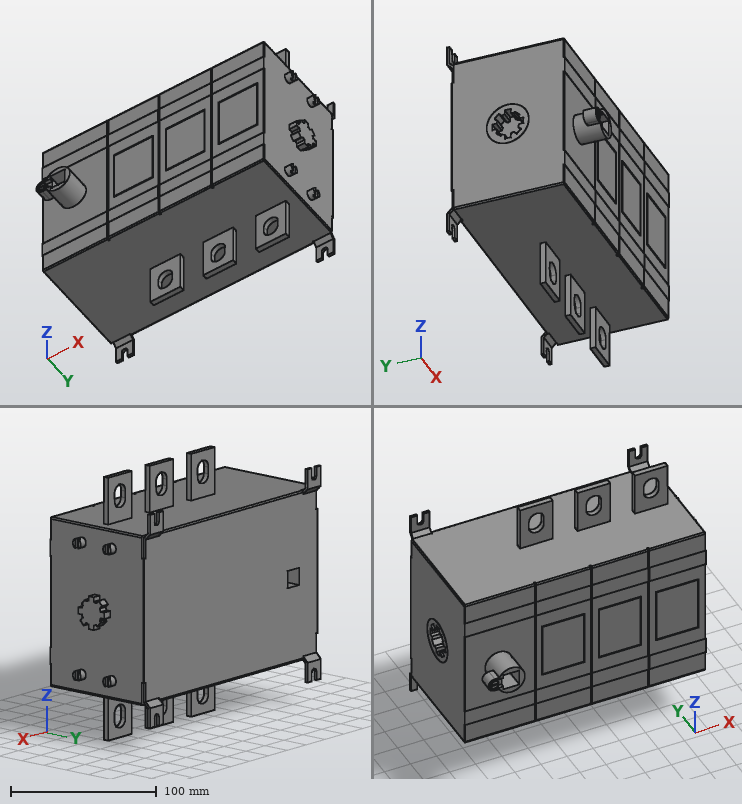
import cadquery as cq
import math


overall_width = 191
overall_depth = 108.0
overall_height = 186.0

body_width = 184.7
body_depth = 84.2
body_height = 120.0
edge_bevel = 0.67
edge_bevel_height = 1.3
mid_depth = body_depth / 2

band_inner = 32.3
band_outer = 44.1
band_rise = 0.2

groove_positions = [54.5, 97.0, 141.0]
groove_width = 1.1
groove_depth = 2.0

window_width = 32.5
window_height = 41.8
window_line = 0.4
window_line_depth = 0.4

terminal_pitch = 44.0
first_terminal = 74.9
terminal_count = 3
terminal_width = 25.0
terminal_thickness = 4.0
terminal_hole_width = 11.5
terminal_hole_length = 16.2
terminal_hole_height = 78.0

bracket_inset = 2.0
bracket_width = 14.1
bracket_thickness = 2.0
bracket_offset = 4.0
bracket_foot = 44.0
bracket_bend = 57.3
bracket_tip = 75.5
bracket_slot_width = 4.8
bracket_slot_bottom = 66.8

shaft_x = 26.2
shaft_diameter = 20.8
shaft_length = overall_depth - body_depth - bracket_offset
shaft_square = 12.2

lever_reach = 12.6
lever_width = 10.0
lever_thickness = 9.4
channel_width = 7.3
channel_depth = 2.9
screw_diameter = 6.1
screw_slot_width = 1.0

spline_root_radius = 8.8
spline_tooth_width = 4.5
spline_tip_long = 11.7
spline_tip_short = 10.0
short_tooth_angles = [135, 315]
tooth_count = 8
plug_length = overall_width - body_width
socket_depth = 10.0
dial_diameter = 31.3
dial_recess = 0.2

stud_diameter = 7.0
stud_length = 5.5
stud_slot_width = 2.7
stud_slot_depth = 2.1
stud_offset_y = 13.5
stud_height = 46.8


def block(x, y, z):
    """Box given by its (low, high) limits along each axis."""
    size = (x[1] - x[0], y[1] - y[0], z[1] - z[0])
    return cq.Workplane("XY").box(*size, centered=False).translate((x[0], y[0], z[0]))


def upright(half):
    """Add the mirror image of an upper-half shape below the mid-height plane."""
    return half.union(half.mirror("XY"))


def all_corners(foot):
    """Repeat an upper left shape in all four corners of the body."""
    left = upright(foot)
    center = (body_width / 2, 0, 0)
    return left.union(left.mirror("YZ", center))


def bevelled_prism(plane, width, height, bevel_across, bevel_up, length):
    """Rectangle with cut corners, centred on the plane and extruded both ways."""
    right = width / 2
    top = height / 2
    inner_right = right - bevel_across
    inner_top = top - bevel_up
    corners = [
        (right, inner_top), (inner_right, top),
        (-inner_right, top), (-right, inner_top),
        (-right, -inner_top), (-inner_right, -top),
        (inner_right, -top), (right, -inner_top),
    ]
    return cq.Workplane(plane).polyline(corners).close().extrude(length / 2, both=True)


def make_body():
    """Block with every outer edge bevelled, as the common part of three prisms."""
    body = bevelled_prism("XY", body_width, body_depth, edge_bevel, edge_bevel, body_height)
    body = body.intersect(
        bevelled_prism("XZ", body_width, body_height, edge_bevel, edge_bevel_height, body_depth)
    )
    body = body.intersect(
        bevelled_prism("YZ", body_depth, body_height, edge_bevel, edge_bevel_height, body_width)
    )
    body = body.translate((body_width / 2, mid_depth, 0))
    band = block((0, body_width), (-band_rise, mid_depth), (band_inner, band_outer))
    return body.union(upright(band))


def cut_grooves(body):
    for x in groove_positions:
        half = groove_width / 2
        body = body.cut(block((x - half, x + half), (-band_rise, groove_depth), (-body_height, body_height)))
    return body


def cut_windows(body):
    limits = groove_positions + [body_width]
    for left, right in zip(limits, limits[1:]):
        frame = (
            cq.Workplane("XZ")
            .center((left + right) / 2, 0)
            .rect(window_width, window_height)
            .rect(window_width - 2 * window_line, window_height - 2 * window_line)
            .extrude(-window_line_depth)
        )
        body = body.cut(frame)
    return body


def make_terminal(x):
    blade = block(
        (x - terminal_width / 2, x + terminal_width / 2),
        (mid_depth - terminal_thickness / 2, mid_depth + terminal_thickness / 2),
        (-overall_height / 2, overall_height / 2),
    )
    holes = (
        cq.Workplane("XZ")
        .pushPoints([(x, terminal_hole_height), (x, -terminal_hole_height)])
        .slot2D(terminal_hole_length, terminal_hole_width, 90)
        .extrude(-body_depth)
    )
    return blade.cut(holes)


def make_brackets():
    """Cranked foot in each corner, with an open slot in its outer leaf."""
    inner = body_depth - bracket_thickness
    bend_top = bracket_bend + bracket_offset
    shift = bracket_thickness * math.tan(math.radians(45 / 2))
    profile = [
        (inner, bracket_foot),
        (body_depth, bracket_foot),
        (body_depth, bracket_bend),
        (body_depth + bracket_offset, bend_top),
        (body_depth + bracket_offset, bracket_tip),
        (inner + bracket_offset, bracket_tip),
        (inner + bracket_offset, bend_top + shift),
        (inner, bracket_bend + shift),
    ]
    strip = cq.Workplane("YZ", origin=(bracket_inset, 0, 0)).polyline(profile).close().extrude(bracket_width)
    slot_length = 2 * (bracket_tip - bracket_slot_bottom)
    slot = (
        cq.Workplane("XZ")
        .center(bracket_inset + bracket_width / 2, bracket_tip)
        .slot2D(slot_length, bracket_slot_width, 90)
        .extrude(-2 * body_depth)
    )
    return all_corners(strip.cut(slot))


def cut_bracket_seats(body):
    seat = block(
        (0, bracket_inset + bracket_width),
        (body_depth - bracket_thickness, body_depth),
        (bracket_foot, body_height / 2),
    )
    return body.cut(all_corners(seat))


def make_shaft():
    """Round shaft standing out of the front, with a flush lever at its end."""
    barrel = cq.Workplane("XZ").center(shaft_x, 0).circle(shaft_diameter / 2).extrude(shaft_length)
    lever_plane = cq.Workplane("XZ", origin=(shaft_x, -shaft_length, 0))
    lever = lever_arm(lever_plane, lever_width, lever_thickness)
    channel = lever_arm(lever_plane, channel_width, channel_depth)
    screw_plane = lever_plane.center(-lever_reach, 0)
    screw = screw_plane.circle(screw_diameter / 2).extrude(-channel_depth)
    screw_slot = screw_plane.rect(screw_diameter, screw_slot_width).extrude(-channel_depth)
    return barrel.union(lever).cut(channel).union(screw.cut(screw_slot))


def lever_arm(plane, width, thickness):
    """Arm from the shaft axis to the lever end, rounded at the end, running back from the plane."""
    half = width / 2
    return (
        plane.moveTo(0, half)
        .lineTo(-lever_reach, half)
        .threePointArc((-lever_reach - half, 0), (-lever_reach, -half))
        .lineTo(0, -half)
        .close()
        .extrude(-thickness)
    )


def make_spline(x, length):
    """Eight-toothed spline along X; the two short teeth key its position."""
    plane = cq.Workplane("YZ", origin=(x, mid_depth, 0))
    spline = plane.circle(spline_root_radius).extrude(length)
    for index in range(tooth_count):
        angle = index * 360 / tooth_count
        tip = spline_tip_short if angle in short_tooth_angles else spline_tip_long
        tooth = (
            plane.transformed(rotate=(0, 0, angle))
            .center(tip / 2, 0)
            .rect(tip, spline_tooth_width)
            .extrude(length)
        )
        spline = spline.union(tooth)
    return spline


def make_dial():
    """Shallow round recess that surrounds the spline socket."""
    return cq.Workplane("YZ", origin=(0, mid_depth, 0)).circle(dial_diameter / 2).extrude(dial_recess)


def make_studs():
    positions = [
        (mid_depth + y, z)
        for y in (-stud_offset_y, stud_offset_y)
        for z in (-stud_height, stud_height)
    ]
    plane = cq.Workplane("YZ", origin=(body_width, 0, 0))
    studs = plane.pushPoints(positions).circle(stud_diameter / 2).extrude(stud_length)
    slots = (
        plane.workplane(offset=stud_length - stud_slot_depth)
        .pushPoints(positions)
        .rect(stud_slot_width, stud_diameter)
        .extrude(stud_slot_depth)
    )
    return studs.cut(slots)


result = cut_windows(cut_grooves(make_body()))
result = cut_bracket_seats(result).union(make_brackets())

for number in range(terminal_count):
    result = result.union(make_terminal(first_terminal + number * terminal_pitch))

result = result.union(make_shaft())
result = result.cut(make_dial()).cut(make_spline(0, socket_depth))
result = result.union(make_spline(body_width, plug_length)).union(make_studs())

square_bore = cq.Workplane("XZ", origin=(shaft_x, -shaft_length, 0)).rect(shaft_square, shaft_square)
result = result.cut(square_bore.extrude(-shaft_length - body_depth))